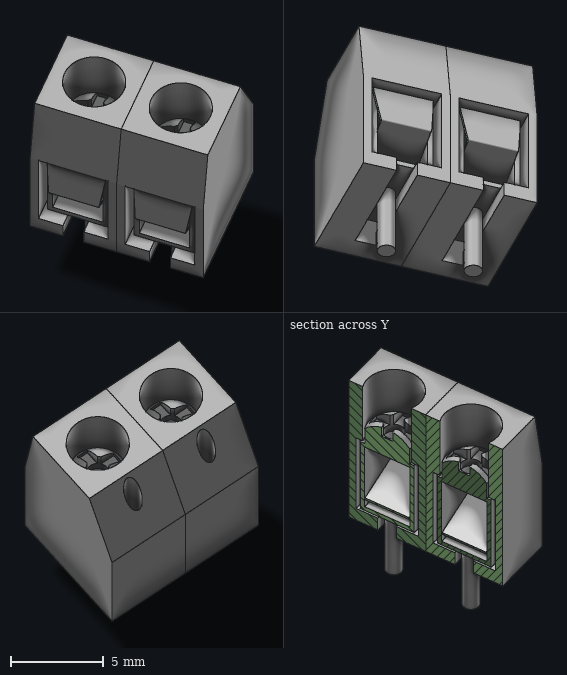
import cadquery as cq
import math

pole_count = 2
block_width = 10.0
pole_width = block_width / pole_count
block_depth = 7.7
total_height = 13.0
pin_length = 3.0
housing_height = total_height - pin_length

shoulder_z = 6.0
front_inset = 0.7
back_inset = 2.0
cavity_width = 4.0
cavity_floor_z = 0.9
cavity_depth = 6.45
slot_width = 1.2
rear_hole_diameter = 1.0
rear_hole_y = 6.3
screw_hole_diameter = 3.4

axis_y = 3.2
cage_width = 3.5
cage_depth = 5.0
cage_wall = 0.3
cage_bottom_z = 1.0
cage_top_z = 5.92
cage_front_y = axis_y - cage_depth / 2
tunnel_width = cage_width - 2 * cage_wall
pin_diameter = 1.0

guard_thickness = 0.15
guard_bend_y = 0.64
guard_tip_y = 0.15
guard_tip_z = 3.37
guard_tail_y = 4.7
guard_tail_z = 1.52
guard_tail_width = 2.86

screw_diameter = 3.2
screw_rim_z = 7.0
dome_radius = 2.0
cross_length = 2.7
cross_width = 0.69
socket_diameter = 1.2
socket_depth = 0.5


def upright_cylinder(diameter, y, bottom_z, top_z):
    """A cylinder along Z on the X = 0 plane."""
    return (
        cq.Workplane("XY", origin=(0, y, bottom_z)).circle(diameter / 2).extrude(top_z - bottom_z)
    )


def front_pocket(width, bottom_z, top_z):
    """A box centred on X = 0 that runs from the front face to the back of the cavity."""
    return (
        cq.Workplane("XY", origin=(0, 0, bottom_z))
        .box(width, cavity_depth, top_z - bottom_z, centered=(True, False, False))
    )


def make_housing():
    """One pole of the housing, centred on X = 0."""
    side_outline = [
        (0, 0),
        (block_depth, 0),
        (block_depth, shoulder_z),
        (block_depth - back_inset, housing_height),
        (front_inset, housing_height),
        (0, shoulder_z),
    ]
    body = cq.Workplane("YZ").polyline(side_outline).close().extrude(pole_width / 2, both=True)

    cavity = front_pocket(cavity_width, cavity_floor_z, shoulder_z)
    pin_slot = front_pocket(slot_width, 0, cavity_floor_z)
    screw_hole = upright_cylinder(screw_hole_diameter, axis_y, shoulder_z, housing_height)
    rear_hole = upright_cylinder(rear_hole_diameter, rear_hole_y, shoulder_z, housing_height)
    return body.cut(cavity).cut(pin_slot).cut(screw_hole).cut(rear_hole)


def make_cage():
    """Rectangular tube, open at the front and back."""
    mid_z = (cage_bottom_z + cage_top_z) / 2
    height = cage_top_z - cage_bottom_z
    return (
        cq.Workplane("XZ", origin=(0, cage_front_y, mid_z))
        .rect(cage_width, height)
        .rect(tunnel_width, height - 2 * cage_wall)
        .extrude(-cage_depth)
    )


def make_wire_guard():
    """Folded strip: tapered tongue in front of the cage, tail sloping back inside it."""
    bend_z = cage_top_z - guard_thickness / 2
    strip = (
        cq.Workplane("YZ")
        .polyline(
            [
                (cage_front_y + cage_wall, bend_z),
                (guard_bend_y, bend_z),
                (guard_tip_y, guard_tip_z),
                (guard_tail_y, guard_tail_z),
            ]
        )
        .offset2D(guard_thickness / 2)
        .extrude(cage_width / 2, both=True)
    )
    front_outline = [
        (-guard_tail_width / 2, 0),
        (guard_tail_width / 2, 0),
        (guard_tail_width / 2, guard_tip_z - guard_thickness / 2),
        (tunnel_width / 2, guard_tip_z),
        (cage_width / 2, cage_top_z),
        (-cage_width / 2, cage_top_z),
        (-tunnel_width / 2, guard_tip_z),
        (-guard_tail_width / 2, guard_tip_z - guard_thickness / 2),
    ]
    outline_prism = cq.Workplane("XZ").polyline(front_outline).close().extrude(-block_depth)
    return strip.intersect(outline_prism)


def make_screw_head():
    """Domed head with a cross recess and a deeper round socket at its centre."""
    rim_to_dome_centre = math.sqrt(dome_radius**2 - (screw_diameter / 2) ** 2)
    dome_centre_z = screw_rim_z - rim_to_dome_centre
    dome_top_z = dome_centre_z + dome_radius
    dome = cq.Workplane("XY").sphere(dome_radius).translate((0, axis_y, dome_centre_z))
    head = upright_cylinder(screw_diameter, axis_y, cage_top_z, dome_top_z).intersect(dome)

    cross_plane = cq.Workplane("XY", origin=(0, axis_y, screw_rim_z))
    for length_x, length_y in [(cross_length, cross_width), (cross_width, cross_length)]:
        head = head.cut(cross_plane.rect(length_x, length_y).extrude(dome_top_z - screw_rim_z))
    socket = upright_cylinder(socket_diameter, axis_y, screw_rim_z - socket_depth, dome_top_z)
    return head.cut(socket)


def make_terminal():
    """Cage, wire guard, screw head and pin as one metal body, centred on X = 0."""
    pin = upright_cylinder(pin_diameter, axis_y, -pin_length, cage_bottom_z)
    return make_cage().union(make_wire_guard()).union(make_screw_head()).union(pin)


housings = []
terminals = []
for pole in range(pole_count):
    pole_x = (pole - (pole_count - 1) / 2) * pole_width
    housings.append(make_housing().translate((pole_x, 0, 0)).solids().val())
    terminals.append(make_terminal().translate((pole_x, 0, 0)).solids().val())

result = cq.Compound.makeCompound([*housings, *terminals])